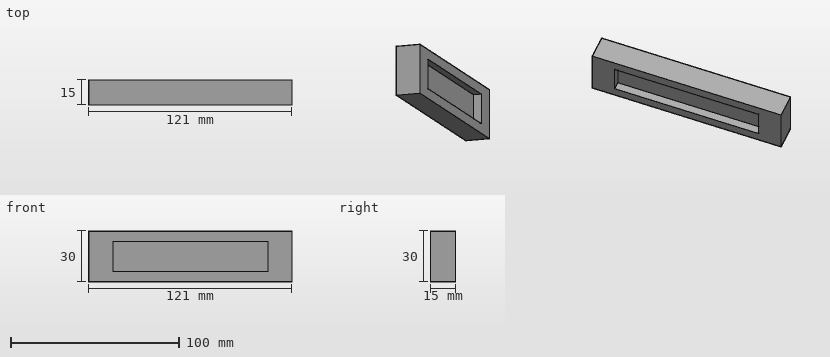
import cadquery as cq

length = 121.0
thickness = 15.0
height = 30.0

pocket_length = 92.2
pocket_height = 18.0
pocket_depth = 5.0

block = cq.Workplane("XY").box(length, thickness, height)

pocket_center_y = (pocket_depth - thickness) / 2
pocket = (
    cq.Workplane("XY")
    .box(pocket_length, pocket_depth, pocket_height)
    .translate((0, pocket_center_y, 0))
)

result = block.cut(pocket)